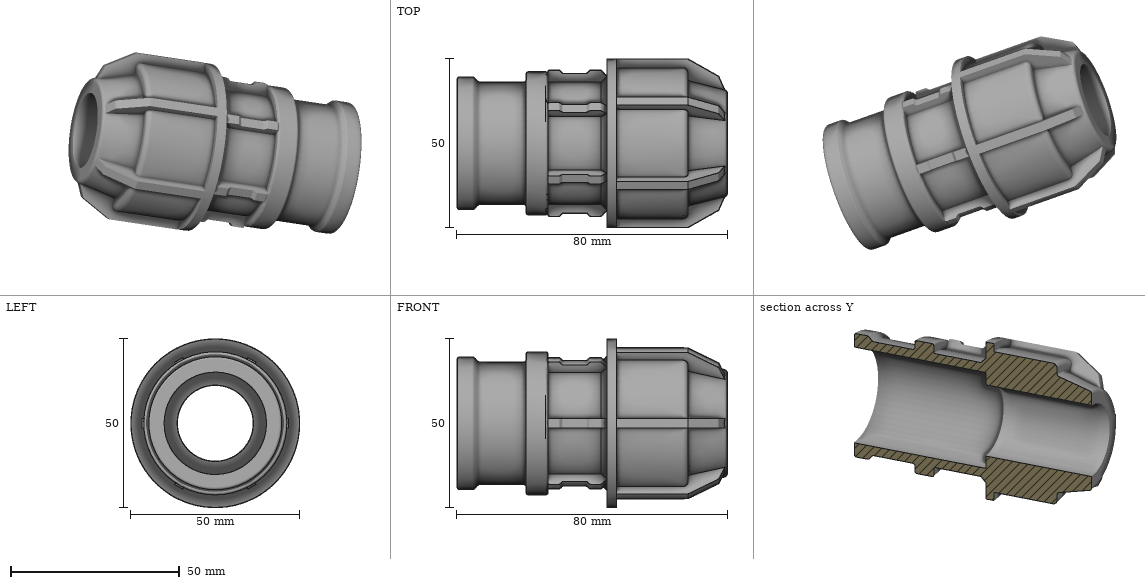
import cadquery as cq

TOTAL_LENGTH = 80.0

BORE_D = 22.5
ENTRY_BORE_D = 30.3

BARREL_D = 36.3
END_COLLAR_D = 39.4
END_COLLAR_LENGTH = 4.8
MID_COLLAR_D = 42.4
MID_COLLAR_START = 20.4
MID_COLLAR_END = 26.9
FLANGE_D = 50.0
FLANGE_START = 44.3
FLANGE_WIDTH = 2.9
FLANGE_BEVEL = 1.7
BODY_FILLET = 0.7

NUT_D = 44.8
NUT_END = 68.3
NUT_FILLET = 1.5
NOSE_ROOT_D = 37.3
NOSE_TIP_D = 31.4
NOSE_FILLET = 1.1

RIB_COUNT = 6
RIB_WIDTH = 2.7
RIB_ROUND = 0.5
RIB_ROOT_CLEARANCE = 1.6
NUT_RIB_SHOULDER_X = 77.4
NUT_RIB_SHOULDER_R = 19.8
NUT_RIB_TIP_X = 79.5
NUT_RIB_TIP_R = 15.2
BODY_RIB_R = 21.7
BODY_RIB_NOTCH_DEPTH = 1.0
BODY_RIB_NOTCH_START = 30.3
BODY_RIB_NOTCH_END = 39.3
BODY_RIB_RAMP = 0.9

TOLERANCE = 0.01

barrel_r = BARREL_D / 2
end_collar_r = END_COLLAR_D / 2
mid_collar_r = MID_COLLAR_D / 2
flange_r = FLANGE_D / 2
nut_r = NUT_D / 2
nose_root_r = NOSE_ROOT_D / 2
nose_tip_r = NOSE_TIP_D / 2
flange_end = FLANGE_START + FLANGE_WIDTH
groove_start = END_COLLAR_LENGTH + end_collar_r - barrel_r
bore_step_x = FLANGE_START
rib_root_r = BORE_D / 2 + RIB_ROOT_CLEARANCE


def fillet_rings(solid, rings, radius):
    """Round the circular edges given as (x, radius) pairs."""
    selected = [
        edge
        for edge in solid.edges("%CIRCLE").vals()
        for ring_x, ring_r in rings
        if abs(edge.arcCenter().x - ring_x) < TOLERANCE and abs(edge.radius() - ring_r) < TOLERANCE
    ]
    return solid.newObject(selected).fillet(radius)


def turned_shell():
    """Outer shape of body, flange and nut as one solid of revolution."""
    profile = [
        (0, 0),
        (0, end_collar_r),
        (END_COLLAR_LENGTH, end_collar_r),
        (groove_start, barrel_r),
        (MID_COLLAR_START, barrel_r),
        (MID_COLLAR_START, mid_collar_r),
        (MID_COLLAR_END, mid_collar_r),
        (MID_COLLAR_END, barrel_r),
        (FLANGE_START - FLANGE_BEVEL, barrel_r),
        (FLANGE_START, barrel_r + FLANGE_BEVEL),
        (FLANGE_START, flange_r),
        (flange_end, flange_r),
        (flange_end, nut_r),
        (NUT_END, nut_r),
        (NUT_END, nose_root_r),
        (TOTAL_LENGTH, nose_tip_r),
        (TOTAL_LENGTH, 0),
    ]
    shell = cq.Workplane("XY").polyline(profile).close().revolve(360, (0, 0, 0), (1, 0, 0))
    body_rings = [
        (0, end_collar_r),
        (END_COLLAR_LENGTH, end_collar_r),
        (groove_start, barrel_r),
        (MID_COLLAR_START, barrel_r),
        (MID_COLLAR_START, mid_collar_r),
        (MID_COLLAR_END, mid_collar_r),
        (NUT_END, nose_root_r),
    ]
    shell = fillet_rings(shell, body_rings, BODY_FILLET)
    shell = fillet_rings(shell, [(NUT_END, nut_r)], NUT_FILLET)
    shell = fillet_rings(shell, [(TOTAL_LENGTH, nose_tip_r)], NOSE_FILLET)
    return shell.rotate((0, 0, 0), (1, 0, 0), 180 / RIB_COUNT)


def rounded_rib(points, sharp_r):
    """Flat rib centred on Z = 0, with its corners between sharp_r and the flange rim rounded."""
    blank = cq.Workplane("XY").polyline(points).close().extrude(RIB_WIDTH / 2, both=True)
    corners = [
        edge
        for edge in blank.edges("|Z").vals()
        if sharp_r + TOLERANCE < edge.Center().y < flange_r - TOLERANCE
    ]
    return blank.newObject(corners).fillet(RIB_ROUND)


def body_rib():
    """Notched rib between the middle collar and the flange."""
    floor_r = BODY_RIB_R - BODY_RIB_NOTCH_DEPTH
    bevel_r = barrel_r + FLANGE_BEVEL
    points = [
        (MID_COLLAR_END, rib_root_r),
        (MID_COLLAR_END, BODY_RIB_R),
        (BODY_RIB_NOTCH_START, BODY_RIB_R),
        (BODY_RIB_NOTCH_START + BODY_RIB_RAMP, floor_r),
        (BODY_RIB_NOTCH_END - BODY_RIB_RAMP, floor_r),
        (BODY_RIB_NOTCH_END, BODY_RIB_R),
        (FLANGE_START - FLANGE_BEVEL, BODY_RIB_R),
        (FLANGE_START, bevel_r),
        (FLANGE_START, rib_root_r),
    ]
    return rounded_rib(points, bevel_r)


def nut_rib():
    """Rib along the nut, flush with the flange and tapering down to the nose."""
    points = [
        (flange_end, rib_root_r),
        (flange_end, flange_r),
        (NUT_END, flange_r),
        (NUT_RIB_SHOULDER_X, NUT_RIB_SHOULDER_R),
        (NUT_RIB_TIP_X, NUT_RIB_TIP_R),
        (NUT_RIB_TIP_X, rib_root_r),
    ]
    return rounded_rib(points, NUT_RIB_TIP_R)


def bore():
    """Wide entry bore followed by the narrower through bore."""
    wide = cq.Workplane("YZ").circle(ENTRY_BORE_D / 2).extrude(bore_step_x)
    narrow = cq.Workplane("YZ").circle(BORE_D / 2).extrude(TOTAL_LENGTH)
    return wide.union(narrow)


result = turned_shell()
for index in range(RIB_COUNT):
    angle = index * 360 / RIB_COUNT
    for single_rib in (body_rib(), nut_rib()):
        result = result.union(single_rib.rotate((0, 0, 0), (1, 0, 0), angle))
result = result.cut(bore())